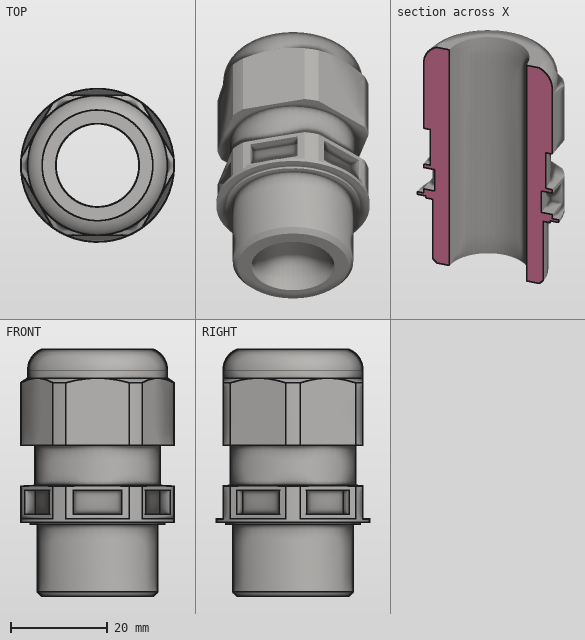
import cadquery as cq
import math

total_height = 51.5
entry_chamfer = 1.0
washer_bottom = 15.0
flange_bottom = 15.45
body_hex_bottom = 16.15
body_hex_top = 23.1
nut_bottom = 31.45
nut_top = 45.5
dome_bottom = 47.1

bore_radius = 8.65
entry_radius = 12.55
washer_radius = 14.05
flange_radius = 32.0 / 2
neck_radius = 13.1
dome_radius = 29.1 / 2
dome_top_radius = 11.55

hex_apothem = dome_radius
corner_radius = flange_radius
nut_corner_drop = 1.0
body_corner_drop = 0.15

pocket_width = 10.2
pocket_height = 5.0
pocket_bottom = 17.15
pocket_depth = 2.5

hex_sides = 6


def cylinder(radius, bottom, top):
    return cq.Workplane("XY").workplane(offset=bottom).circle(radius).extrude(top - bottom)


def rounded_hexagon(bottom, top, corner_drop, cone_top_radius):
    """Hexagon with flats facing +Y and -Y, turned at the corners and coned on top."""
    across_corners = 2 * hex_apothem / math.cos(math.pi / hex_sides)
    prism = (
        cq.Workplane("XY").workplane(offset=bottom)
        .polygon(hex_sides, across_corners).extrude(top - bottom)
    )
    envelope = (
        cq.Workplane("XZ")
        .moveTo(0, bottom)
        .lineTo(corner_radius, bottom)
        .lineTo(corner_radius, top - corner_drop)
        .lineTo(cone_top_radius, top)
        .lineTo(0, top)
        .close()
        .revolve()
    )
    return prism.intersect(envelope)


def pocket(angle):
    """Cutter for one rectangular pocket, turned to its flat."""
    return (
        cq.Workplane("XY")
        .box(pocket_width, pocket_depth, pocket_height, centered=(True, False, False))
        .translate((0, -hex_apothem, pocket_bottom))
        .rotate((0, 0, 0), (0, 0, 1), angle)
    )


entry = cylinder(entry_radius, 0, flange_bottom).faces("<Z").chamfer(entry_chamfer)
washer = cylinder(washer_radius, washer_bottom, flange_bottom)
neck = cylinder(neck_radius, flange_bottom, nut_bottom)

flange = cylinder(flange_radius, flange_bottom, body_hex_bottom)

body_hex = rounded_hexagon(body_hex_bottom, body_hex_top, body_corner_drop, neck_radius)

nut_hex = rounded_hexagon(nut_bottom, nut_top, nut_corner_drop, dome_radius)
dome_inset = dome_radius - dome_top_radius
dome_height = total_height - dome_bottom
arc_radius = (dome_inset**2 + dome_height**2) / (2 * dome_inset)
half_sweep = math.asin(dome_height / arc_radius) / 2
arc_middle = (
    dome_radius - arc_radius * (1 - math.cos(half_sweep)),
    dome_bottom + arc_radius * math.sin(half_sweep),
)
dome = (
    cq.Workplane("XZ")
    .moveTo(0, nut_top)
    .lineTo(dome_radius, nut_top)
    .lineTo(dome_radius, dome_bottom)
    .threePointArc(arc_middle, (dome_top_radius, total_height))
    .lineTo(0, total_height)
    .close()
    .revolve()
)

result = entry
for piece in (washer, flange, body_hex, neck, nut_hex, dome):
    result = result.union(piece)
for side in range(hex_sides):
    result = result.cut(pocket(side * 360 / hex_sides))
result = result.cut(cylinder(bore_radius, 0, total_height)).clean()